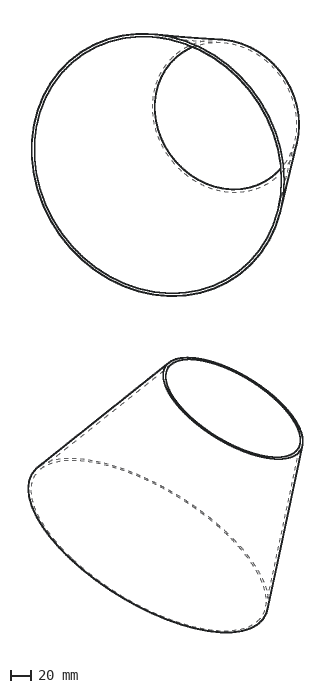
import cadquery as cq

large_diameter = 273.0
small_diameter = 159.0
wall = 3.0
length = 178.0

large_radius = large_diameter / 2
small_radius = small_diameter / 2

wall_section = (
    cq.Workplane("XY")
    .moveTo(large_radius - wall, 0)
    .lineTo(large_radius, 0)
    .lineTo(small_radius, length)
    .lineTo(small_radius - wall, length)
    .close()
)

result = wall_section.revolve(360, (0, 0, 0), (0, 1, 0))